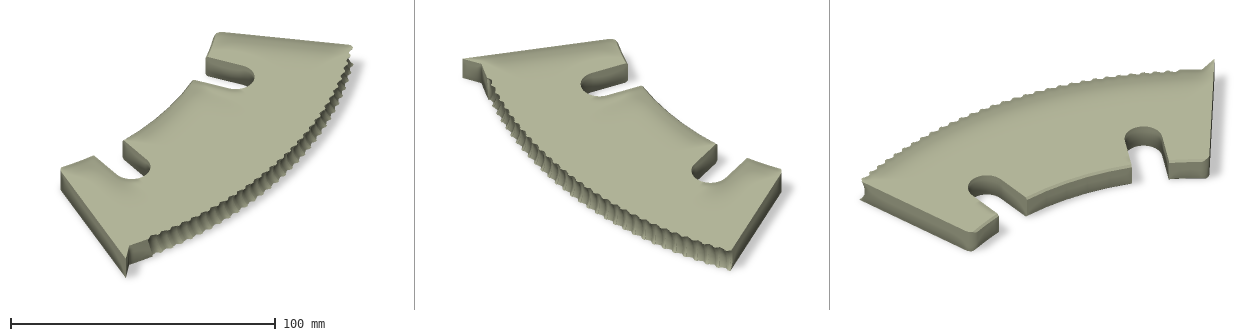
import cadquery as cq
import math

thickness = 9.49
blank_radius = 159.9
tooth_tip_radius = 159.65
inner_radius = 106.55
inner_chamfer = 0.8
corner_radius = 3.3
end_angle = 55.55

nose_tip_radius = 166.3
nose_height = 4.5

slot_width = 14.3
slot_centre_radius = 121.2
slot_angles = [12.0, 43.5]

screw_major_radius = 7.4
screw_minor_radius = 6.6
screw_axis_radius = tooth_tip_radius + math.sqrt(screw_minor_radius**2 - (thickness / 2) ** 2)

tooth_pitch = 4.655
tooth_circle_radius = 159.0
tooth_step = math.degrees(tooth_pitch / tooth_circle_radius)
gap_tilt = math.degrees(math.atan(tooth_pitch / 2 / thickness))
tip_land = 0.08 * tooth_pitch
gap_bottom_half_width = tip_land / 2
gap_outer_half_width = (tooth_pitch - tip_land) / 2
first_gap_angle = 5.65
gap_count = math.ceil((end_angle - first_gap_angle) / tooth_step) + 1


def polar(radius, angle):
    """Point in the plate plane at a radius and an angle in degrees."""
    return (radius * math.cos(math.radians(angle)), radius * math.sin(math.radians(angle)))


def make_ring():
    """Full ring, chamfered along both edges of its bore."""
    half = thickness / 2
    section = [
        (inner_radius + inner_chamfer, -half),
        (nose_tip_radius, -half),
        (nose_tip_radius, half),
        (inner_radius + inner_chamfer, half),
        (inner_radius, half - inner_chamfer),
        (inner_radius, inner_chamfer - half),
    ]
    return cq.Workplane("XZ").polyline(section).close().revolve(360, (0, 0, 0), (0, 1, 0))


def make_outline():
    """Plan outline of the sector and its nose, with rounded inner corners."""
    nose_top_x = math.sqrt(blank_radius**2 - nose_height**2)
    outline = (
        cq.Workplane("XY")
        .workplane(offset=-thickness / 2)
        .moveTo(inner_radius, 0)
        .lineTo(nose_tip_radius, 0)
        .lineTo(nose_top_x, nose_height)
        .threePointArc(polar(blank_radius, end_angle / 2), polar(blank_radius, end_angle))
        .lineTo(*polar(inner_radius, end_angle))
        .threePointArc(polar(inner_radius, end_angle / 2), (inner_radius, 0))
        .close()
        .extrude(thickness)
    )
    for corner in [(inner_radius, 0), polar(inner_radius, end_angle)]:
        outline = outline.edges(cq.selectors.NearestToPointSelector((*corner, 0))).fillet(corner_radius)
    return outline


def make_slot(angle):
    """Round-ended slot, open through the bore, on one radial line."""
    start_radius = inner_radius - slot_width
    length = slot_centre_radius - start_radius
    straight = cq.Workplane("XY").box(length, slot_width, thickness)
    straight = straight.translate((start_radius + length / 2, 0, 0))
    round_end = cq.Workplane("XY").cylinder(thickness, slot_width / 2).translate((slot_centre_radius, 0, 0))
    return straight.union(round_end).rotate((0, 0, 0), (0, 0, 1), angle)


def make_throat():
    """Concave throat that follows the screw's minor diameter around the rim."""
    return (
        cq.Workplane("XZ")
        .center(screw_axis_radius, 0)
        .circle(screw_minor_radius)
        .revolve(end_angle, (-screw_axis_radius, 0, 0), (-screw_axis_radius, 1, 0))
        .rotate((0, 0, 0), (0, 0, 1), first_gap_angle)
    )


def make_gap(angle):
    """Disc with a tapered edge, tilted like the thread, that cuts one tooth gap."""
    section = [
        (0, -gap_outer_half_width),
        (screw_minor_radius, -gap_outer_half_width),
        (screw_major_radius, -gap_bottom_half_width),
        (screw_major_radius, gap_bottom_half_width),
        (screw_minor_radius, gap_outer_half_width),
        (0, gap_outer_half_width),
    ]
    disc = cq.Workplane("XY").polyline(section).close().revolve(360, (0, 0, 0), (0, 1, 0))
    tilted = disc.rotate((0, 0, 0), (1, 0, 0), gap_tilt)
    return tilted.translate((screw_axis_radius, 0, 0)).rotate((0, 0, 0), (0, 0, 1), angle)


result = make_ring().intersect(make_outline())
for slot_angle in slot_angles:
    result = result.cut(make_slot(slot_angle))
result = result.cut(make_throat())
gap_discs = [make_gap(first_gap_angle + index * tooth_step).val() for index in range(gap_count)]
result = result.cut(cq.Workplane(cq.Compound.makeCompound(gap_discs)))